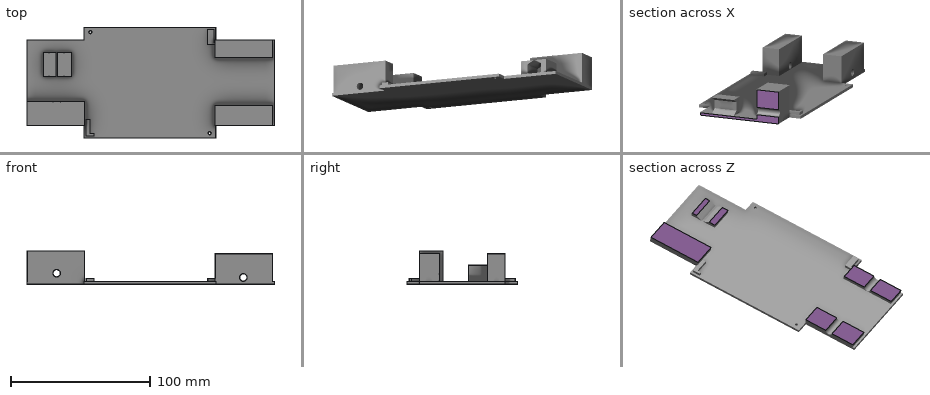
import cadquery as cq
import math

LENGTH = 177.6
WIDTH = 79.4
PLATE_THICKNESS = 2.1
WING_WIDTH = 61.5
CENTRE_START = 40.8
CENTRE_END = 135.5
WING_EDGE = WING_WIDTH / 2

PIN_HOLE_DIAMETER = 2.0
PIN_HOLES = [(45.5, 36.2), (131.0, -36.2)]

BLOCK_LENGTH = 41.2
LEFT_BLOCK_START = 0.2
LEFT_BLOCK_DEPTH = 17.0
LEFT_BLOCK_TOP = 24.0
RIGHT_BLOCK_END = 176.2
RIGHT_BLOCK_START = RIGHT_BLOCK_END - BLOCK_LENGTH
RIGHT_FRONT_DEPTH = 14.4
RIGHT_BACK_DEPTH = 12.8
RIGHT_BLOCK_TOP = 22.0

SHAFT_DIAMETER = 5.2
LEFT_SHAFT_X = 21.3
LEFT_SHAFT_Z = 8.0
RIGHT_SHAFT_X = 155.2
RIGHT_SHAFT_Z = 5.0

LOW_BLOCK_START = 11.9
LOW_BLOCK_LENGTH = 20.0
LOW_BLOCK_FRONT = 4.5
LOW_BLOCK_DEPTH = 17.0
LOW_BLOCK_TOP = 13.9
SLIT_WIDTH = 1.0
HEX_RADIUS = LOW_BLOCK_TOP - LEFT_SHAFT_Z + SLIT_WIDTH / 2 * math.tan(math.radians(30))

RIB_TOP = 4.3
RIB_OUTER_Y = 38.2
FRONT_RIB_X = 42.5
FRONT_RIB_LEG = 2.8
FRONT_RIB_LENGTH = 11.9
FRONT_RIB_FOOT = 5.7
FRONT_RIB_FOOT_THICKNESS = 1.6
BACK_RIB_X = 129.6
BACK_RIB_LEG = 4.5
BACK_RIB_LENGTH = 10.8
BACK_RIB_FOOT = RIGHT_BLOCK_START - BACK_RIB_X
BACK_RIB_FOOT_THICKNESS = 1.6


def box(x, y, length, depth, top):
    """Box with its low-X, low-Y corner at (x, y), standing on the underside level."""
    return cq.Workplane("XY").box(length, depth, top, centered=False).translate((x, y, 0))


def bore(x, z, radius, front, depth):
    """Cylinder along +Y starting at y = front."""
    return cq.Workplane("XZ", origin=(x, front, z)).circle(radius).extrude(-depth)


def base_plate():
    wings = box(0, -WING_EDGE, LENGTH, WING_WIDTH, PLATE_THICKNESS)
    centre = box(CENTRE_START, -WIDTH / 2, CENTRE_END - CENTRE_START, WIDTH, PLATE_THICKNESS)
    pins = cq.Workplane("XY").pushPoints(PIN_HOLES).circle(PIN_HOLE_DIAMETER / 2).extrude(PLATE_THICKNESS)
    return wings.union(centre).cut(pins)


def bearing_blocks():
    left = box(LEFT_BLOCK_START, -WING_EDGE, BLOCK_LENGTH, LEFT_BLOCK_DEPTH, LEFT_BLOCK_TOP)
    front = box(RIGHT_BLOCK_START, -WING_EDGE, BLOCK_LENGTH, RIGHT_FRONT_DEPTH, RIGHT_BLOCK_TOP)
    back_y = WING_EDGE - RIGHT_BACK_DEPTH
    back = box(RIGHT_BLOCK_START, back_y, BLOCK_LENGTH, RIGHT_BACK_DEPTH, RIGHT_BLOCK_TOP)
    return left.union(front).union(back)


def low_block():
    block = box(LOW_BLOCK_START, LOW_BLOCK_FRONT, LOW_BLOCK_LENGTH, LOW_BLOCK_DEPTH, LOW_BLOCK_TOP)
    hexagon = cq.Workplane("XZ", origin=(LEFT_SHAFT_X, LOW_BLOCK_FRONT, LEFT_SHAFT_Z))
    hexagon = hexagon.transformed(rotate=(0, 0, 90)).polygon(6, 2 * HEX_RADIUS)
    return block.cut(hexagon.extrude(-LOW_BLOCK_DEPTH))


def locating_ribs():
    y = -RIB_OUTER_Y
    front = box(FRONT_RIB_X, y, FRONT_RIB_LEG, FRONT_RIB_LENGTH, RIB_TOP)
    front_foot = box(FRONT_RIB_X, y, FRONT_RIB_FOOT, FRONT_RIB_FOOT_THICKNESS, RIB_TOP)
    y = RIB_OUTER_Y - BACK_RIB_LENGTH
    back = box(BACK_RIB_X, y, BACK_RIB_LEG, BACK_RIB_LENGTH, RIB_TOP)
    back_foot = box(BACK_RIB_X, y, BACK_RIB_FOOT, BACK_RIB_FOOT_THICKNESS, RIB_TOP)
    return front.union(front_foot).union(back).union(back_foot)


def shaft_holes():
    left = bore(LEFT_SHAFT_X, LEFT_SHAFT_Z, SHAFT_DIAMETER / 2, -WING_EDGE, WING_WIDTH)
    right = bore(RIGHT_SHAFT_X, RIGHT_SHAFT_Z, SHAFT_DIAMETER / 2, -WING_EDGE, WING_WIDTH)
    return left.union(right)


body = base_plate().union(bearing_blocks()).union(low_block()).union(locating_ribs())
result = body.cut(shaft_holes())